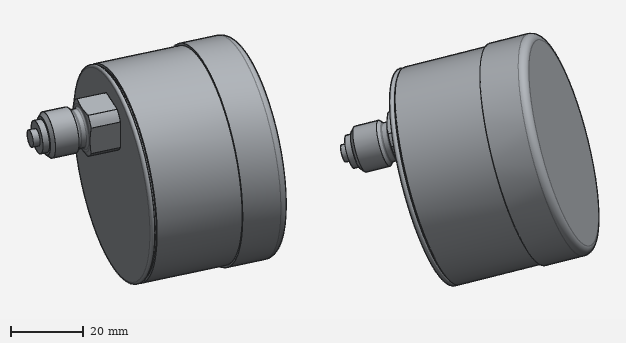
import cadquery as cq
import math

total_length = 64.6
stem_length = 24.1
case_length = total_length - stem_length

bezel_diameter = 63.6
bezel_length = 13.6
bezel_fillet = 2.3
body_diameter = 62.3
bead_radius = 0.7
groove_width = 0.45

stem_offset = 18.0
wrench_width = 13.8
wrench_corner_diameter = 16.3
wrench_length = 9.0
wrench_face_diameter = 13.75
wrench_chamfer_angle = 15.0
neck_diameter = 11.2
neck_base_fillet = 0.6
neck_end_fillet = 0.4
neck_length = 2.15
thread_diameter = 13.2
thread_end_diameter = 11.0
pilot_diameter = 9.5
pilot_length = 1.95
tip_diameter = 5.0
tip_length = 2.0


def make_case():
    """Revolve the case: round bead, groove as deep as the bead radius, body, filleted bezel."""
    body_radius = body_diameter / 2
    bezel_radius = bezel_diameter / 2
    bead_center_radius = body_radius - bead_radius
    bead_width = 2 * bead_radius
    groove_end = bead_width + groove_width
    bezel_start = case_length - bezel_length
    profile = (
        cq.Workplane("XY")
        .lineTo(bead_center_radius, 0)
        .threePointArc((body_radius, bead_radius), (bead_center_radius, bead_width))
        .lineTo(bead_center_radius, groove_end)
        .lineTo(body_radius, groove_end)
        .lineTo(body_radius, bezel_start)
        .lineTo(bezel_radius, bezel_start)
        .lineTo(bezel_radius, case_length)
        .lineTo(0, case_length)
        .close()
    )
    case = profile.revolve(360, (0, 0, 0), (0, 1, 0))
    return case.faces(">Y").edges().fillet(bezel_fillet)


def stem_cylinder(diameter, start, length):
    """Cylinder on the stem axis, running towards -Y from a distance behind the case."""
    plane = cq.Workplane("XZ", origin=(0, -start, stem_offset))
    return plane.circle(diameter / 2).extrude(length)


def make_wrench_block():
    """Square block with turned corners and a conical chamfer at its outer end."""
    block = (
        cq.Workplane("XZ", origin=(0, 0, stem_offset))
        .rect(wrench_width, wrench_width)
        .extrude(wrench_length)
    )
    corner_radius = wrench_corner_diameter / 2
    face_radius = wrench_face_diameter / 2
    chamfer_length = (corner_radius - face_radius) * math.tan(math.radians(wrench_chamfer_angle))
    envelope = (
        cq.Workplane("XY", origin=(0, 0, stem_offset))
        .lineTo(corner_radius, 0)
        .lineTo(corner_radius, chamfer_length - wrench_length)
        .lineTo(face_radius, -wrench_length)
        .lineTo(0, -wrench_length)
        .close()
        .revolve(360, (0, 0, 0), (0, 1, 0))
    )
    return block.intersect(envelope)


def make_thread():
    """Revolve the relief neck and the threaded length, with 45 degree ends."""
    neck_radius = neck_diameter / 2
    thread_radius = thread_diameter / 2
    thread_end_radius = thread_end_diameter / 2
    base_radius = neck_radius + neck_base_fillet
    arc_shift = neck_base_fillet * (1 - math.sqrt(0.5))

    neck_start = -wrench_length
    neck_end = neck_start - neck_length
    thread_start = neck_end - (thread_radius - neck_radius)
    thread_end = pilot_length + tip_length - stem_length
    chamfer_start = thread_end + (thread_radius - thread_end_radius)

    half_turn = math.radians(45) / 2
    blend_length = neck_end_fillet * math.tan(half_turn)
    blend_run = blend_length * math.sqrt(0.5)
    blend_start = neck_end + blend_length
    blend_middle = (
        neck_radius + neck_end_fillet * (1 - math.cos(half_turn)),
        blend_start - neck_end_fillet * math.sin(half_turn),
    )
    return (
        cq.Workplane("XY", origin=(0, 0, stem_offset))
        .moveTo(0, neck_start)
        .lineTo(base_radius, neck_start)
        .threePointArc(
            (neck_radius + arc_shift, neck_start - arc_shift),
            (neck_radius, neck_start - neck_base_fillet),
        )
        .lineTo(neck_radius, blend_start)
        .threePointArc(blend_middle, (neck_radius + blend_run, neck_end - blend_run))
        .lineTo(thread_radius, thread_start)
        .lineTo(thread_radius, chamfer_start)
        .lineTo(thread_end_radius, thread_end)
        .lineTo(0, thread_end)
        .close()
        .revolve(360, (0, 0, 0), (0, 1, 0))
    )


tip_start = stem_length - tip_length
pilot = stem_cylinder(pilot_diameter, tip_start - pilot_length, pilot_length)
tip = stem_cylinder(tip_diameter, tip_start, tip_length)

result = make_case().union(make_wrench_block()).union(make_thread()).union(pilot).union(tip)